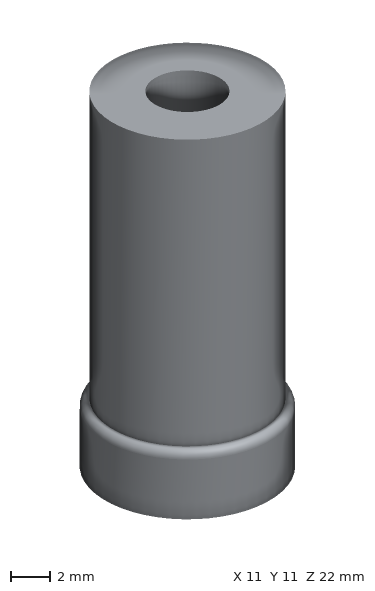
import cadquery as cq

total_height = 22.0
body_diameter = 10.0
collar_diameter = 11.0
collar_height = 4.0
bore_diameter = 4.3

step_width = (collar_diameter - body_diameter) / 2
bore_radius = bore_diameter / 2
body_radius = body_diameter / 2
collar_radius = collar_diameter / 2

half_section = (
    cq.Workplane("XZ")
    .moveTo(bore_radius, 0)
    .lineTo(collar_radius, 0)
    .lineTo(collar_radius, collar_height - step_width)
    .radiusArc((body_radius, collar_height), -step_width)
    .lineTo(body_radius, total_height)
    .lineTo(bore_radius, total_height)
    .close()
)

result = half_section.revolve(360, (0, 0, 0), (0, 1, 0))